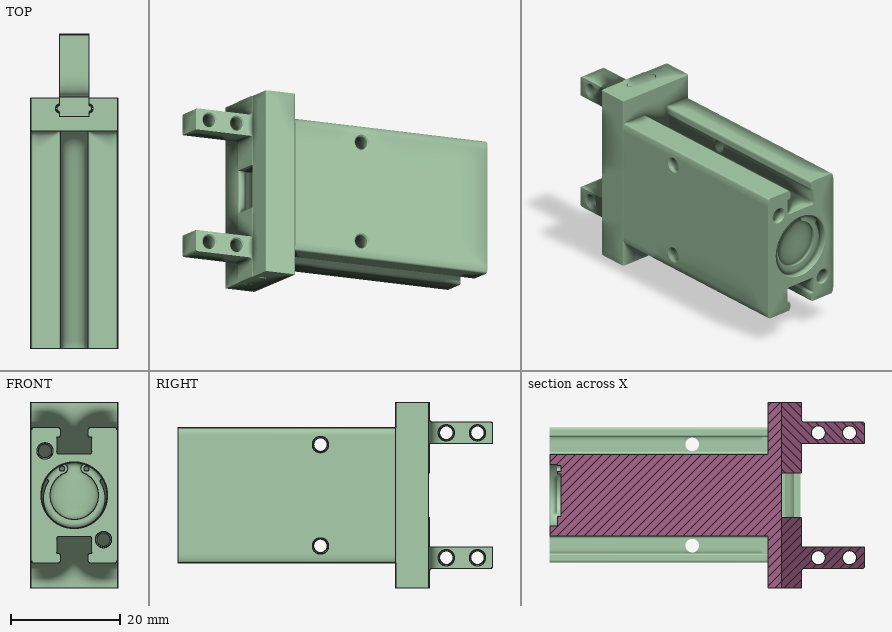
import cadquery as cq
import math


total_length = 57.6
width = 16.0
flange_height = 34.0

block_length = 39.85
block_height = 24.75
flange_front = 45.9
flange_edge_radius = 0.3

side_arc_start = 11.0
side_arc_end = 12.1
side_arc_inset = 0.2
top_flat_half_width = 7.4

slot_mouth_width = 5.05
slot_width = 6.4
slot_floor_height = 7.55
slot_lip_bottom = 10.65
lip_outer_radius = 0.45
lip_inner_radius = 0.35
slot_floor_radius = 0.4

thread_diameter = 2.5
countersink_diameter = 3.0
rear_hole_x = 5.35
rear_hole_z = 8.1
rear_hole_depth = 10.0
cross_hole_y = 26.1
cross_hole_z = 9.3

bore_diameter = 12.0
bore_chamfer = 0.1
ring_recess = 1.3
ring_thickness = 0.65
ring_inner_radius = 4.45
ring_outer_radius = 5.65
ring_outer_drop = 0.6
relief_end_radius = 0.4
relief_end_height = 2.6
ear_hole_x = 2.25
ear_hole_z = 4.9
ear_hole_diameter = 1.0
ear_diameter = 2.0

jaw_width = 5.4
base_rear = 42.45
base_front = 46.1
base_inner_z = 4.05
base_outer_z = flange_height / 2
finger_inner_z = 9.45
finger_outer_z = 13.4
finger_root_radius = 0.4
finger_tip_chamfer = 0.25
finger_hole_ys = (49.15, 54.85)
guide_y = 43.95
guide_inset = 0.1
guide_center_x = jaw_width / 2 - guide_inset
groove_diameter = 1.6
bead_diameter = 1.2


def box(x_range, y_range, z_range):
    """Box between the given limits."""
    (x0, x1), (y0, y1), (z0, z1) = x_range, y_range, z_range
    return cq.Workplane("XY").box(x1 - x0, y1 - y0, z1 - z0, centered=False).translate((x0, y0, z0))


def rod_y(radius, x, z, y_start, length):
    """Cylinder along +Y."""
    return cq.Workplane(cq.Solid.makeCylinder(radius, length, cq.Vector(x, y_start, z), cq.Vector(0, 1, 0)))


def rod_z(radius, x, y, z_start, length):
    """Cylinder along +Z."""
    return cq.Workplane(cq.Solid.makeCylinder(radius, length, cq.Vector(x, y, z_start), cq.Vector(0, 0, 1)))


def countersink(mouth, direction):
    """45-degree cone narrowing from the countersink to the thread diameter."""
    wide = countersink_diameter / 2
    narrow = thread_diameter / 2
    return cq.Workplane(cq.Solid.makeCone(wide, narrow, wide - narrow, cq.Vector(*mouth), cq.Vector(*direction)))


def cross_hole(y, z, through_width):
    """Hole along X through a part of the given width, countersunk on both sides."""
    half = through_width / 2
    hole = cq.Workplane(
        cq.Solid.makeCylinder(thread_diameter / 2, through_width, cq.Vector(-half, y, z), cq.Vector(1, 0, 0))
    )
    for side in (-1, 1):
        hole = hole.union(countersink((side * half, y, z), (-side, 0, 0)))
    return hole



def make_block():
    """Block with rounded long edges."""
    half_width = width / 2
    half_height = block_height / 2
    inset_x = half_width - side_arc_inset
    arc_rise = side_arc_end - side_arc_start
    arc_radius = (arc_rise**2 + side_arc_inset**2) / (2 * side_arc_inset)
    half_angle = math.asin(arc_rise / arc_radius) / 2
    arc_mid = (
        half_width - arc_radius * (1 - math.cos(half_angle)),
        side_arc_start + arc_radius * math.sin(half_angle),
    )
    quarter = (
        cq.Workplane("XZ")
        .lineTo(half_width, 0)
        .lineTo(half_width, side_arc_start)
        .threePointArc(arc_mid, (inset_x, side_arc_end))
        .tangentArcPoint((top_flat_half_width, half_height), relative=False)
        .lineTo(0, half_height)
        .close()
        .extrude(-block_length)
    )
    half = quarter.union(quarter.mirror("YZ"))
    return half.union(half.mirror("XY")).clean()


def make_flange():
    """Wide front plate with rounded vertical edges."""
    plate = box(
        (-width / 2, width / 2),
        (block_length, flange_front),
        (-flange_height / 2, flange_height / 2),
    )
    return plate.edges("|Z").fillet(flange_edge_radius)


def t_slot():
    """Cutter for the upper T-slot, with rounded lips."""
    half_mouth = slot_mouth_width / 2
    half_slot = slot_width / 2
    top = block_height / 2
    half = (
        cq.Workplane("XZ")
        .moveTo(0, slot_floor_height)
        .lineTo(half_slot - slot_floor_radius, slot_floor_height)
        .radiusArc((half_slot, slot_floor_height + slot_floor_radius), -slot_floor_radius)
        .lineTo(half_slot, slot_lip_bottom)
        .lineTo(half_mouth + lip_inner_radius, slot_lip_bottom)
        .radiusArc((half_mouth, slot_lip_bottom + lip_inner_radius), lip_inner_radius)
        .lineTo(half_mouth, top - lip_outer_radius)
        .radiusArc((half_mouth + lip_outer_radius, top), lip_outer_radius)
        .lineTo(0, top)
        .close()
        .extrude(-block_length)
    )
    return half.union(half.mirror("YZ"))


def rear_bore():
    """Blind bore in the rear face with a chamfered mouth."""
    radius = bore_diameter / 2
    bore = rod_y(radius, 0, 0, 0, ring_recess + ring_thickness)
    mouth = cq.Solid.makeCone(
        radius + bore_chamfer, radius, bore_chamfer, cq.Vector(0, 0, 0), cq.Vector(0, 1, 0)
    )
    return bore.union(cq.Workplane(mouth))


def retaining_ring():
    """Ring seated on the bore floor: open at the top, with two eyes and a relief on each side."""
    def disc(radius, x=0.0, z=0.0):
        return rod_y(radius, x, z, ring_recess, ring_thickness)

    bore_radius = bore_diameter / 2
    thickness = (ring_recess, ring_recess + ring_thickness)

    gap = box((-ear_hole_x, ear_hole_x), thickness, (0, bore_radius))
    for side in (-1, 1):
        gap = gap.cut(disc(ear_diameter / 2, side * ear_hole_x, ear_hole_z))

    end_distance = ring_outer_radius + relief_end_radius
    end_rise = relief_end_height + ring_outer_drop
    end_x = math.sqrt(end_distance**2 - end_rise**2)
    relief_top = end_rise * ring_outer_radius / end_distance - ring_outer_drop
    relief = disc(bore_radius).cut(disc(ring_outer_radius, 0, -ring_outer_drop))
    relief = relief.intersect(box((-bore_radius, bore_radius), thickness, (-bore_radius, relief_top)))

    ring = disc(bore_radius).cut(disc(ring_inner_radius)).cut(gap).cut(relief)
    for side in (-1, 1):
        ring = ring.cut(disc(relief_end_radius, side * end_x, relief_end_height))
        ring = ring.cut(disc(ear_hole_diameter / 2, side * ear_hole_x, ear_hole_z))
    return ring


def guide_channel():
    """Channel across the flange for the jaw bases, with a round groove in each wall."""
    half_height = flange_height / 2
    channel = box(
        (-jaw_width / 2, jaw_width / 2),
        (base_rear, flange_front),
        (-half_height, half_height),
    )
    for side in (-1, 1):
        groove = rod_z(groove_diameter / 2, side * guide_center_x, guide_y, -half_height, flange_height)
        channel = channel.union(groove)
    return channel


def make_housing():
    housing = make_block().union(make_flange())
    slot = t_slot()
    housing = housing.cut(slot).cut(slot.mirror("XY"))
    housing = housing.cut(guide_channel())
    for side in (-1, 1):
        x = side * rear_hole_x
        z = -side * rear_hole_z
        housing = housing.cut(rod_y(thread_diameter / 2, x, z, 0, rear_hole_depth))
        housing = housing.cut(countersink((x, 0, z), (0, 1, 0)))
        housing = housing.cut(cross_hole(cross_hole_y, side * cross_hole_z, width))
    return housing.cut(rear_bore()).union(retaining_ring())



def make_jaw(side):
    """Upper (side = 1) or lower (side = -1) jaw: a guided base with a finger to the front."""
    half_width = jaw_width / 2
    profile = (
        cq.Workplane("YZ")
        .moveTo(base_rear, base_inner_z)
        .lineTo(base_front, base_inner_z)
        .lineTo(base_front, finger_inner_z)
        .lineTo(total_length, finger_inner_z)
        .lineTo(total_length, finger_outer_z - finger_tip_chamfer)
        .lineTo(total_length - finger_tip_chamfer, finger_outer_z)
        .lineTo(base_front + finger_root_radius, finger_outer_z)
        .radiusArc((base_front, finger_outer_z + finger_root_radius), finger_root_radius)
        .lineTo(base_front, base_outer_z)
        .lineTo(base_rear, base_outer_z)
        .close()
    )
    jaw = profile.extrude(half_width, both=True)
    for x_side in (-1, 1):
        bead = rod_z(
            bead_diameter / 2, x_side * guide_center_x, guide_y, base_inner_z, base_outer_z - base_inner_z
        )
        jaw = jaw.union(bead)
    for y in finger_hole_ys:
        jaw = jaw.cut(cross_hole(y, (finger_inner_z + finger_outer_z) / 2, jaw_width))
    return jaw if side > 0 else jaw.mirror("XY")


housing = make_housing()
jaws = [make_jaw(side) for side in (1, -1)]

result = cq.Compound.makeCompound([housing.val(), *[jaw.val() for jaw in jaws]])